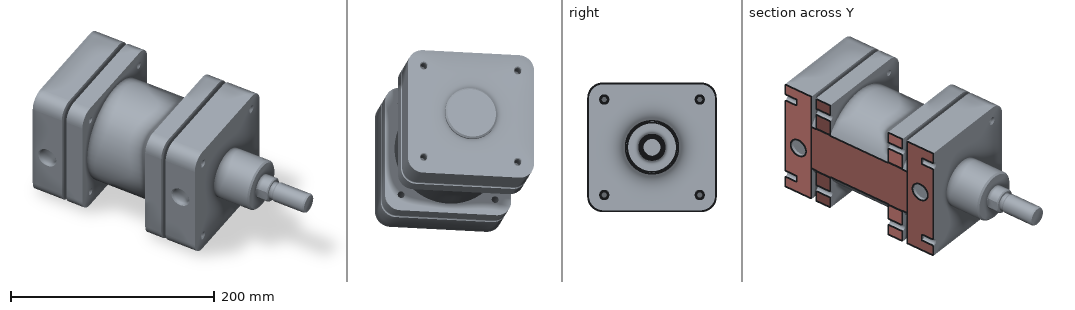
import cadquery as cq

total_length = 281.0
flange_side = 126.0
flange_corner_radius = 15.0

spigot_length = 3.7
cap_thickness = 33.2
plate_thickness = 18.3
cap_plate_gap = 5.0
cap_spacing = 151.5
boss_length = 39.5
boss_diameter = 52.0
boss_chamfer = 1.7

barrel_diameter = 107.0

screw_offset = 47.0
screw_hole_diameter = 6.7
screw_hole_chamfer = 0.8
screw_hole_depth = 14.0

port_diameter = 18.5
port_chamfer = 1.0
port_depth = 19.7
port_offset = 8.0

rod_diameter = 25.0
rod_length = 13.0
rod_collar_length = 0.8
rod_chamfer = 1.0
flats_width = 22.8
neck_diameter = 18.3
neck_length = 3.7
thread_diameter = 20.0
thread_lead_in = 1.7
thread_chamfer = 1.7
thread_chamfer_height = 0.8

rear_cap_start = spigot_length
rear_cap_end = rear_cap_start + cap_thickness
front_cap_start = rear_cap_start + cap_spacing
front_cap_end = front_cap_start + cap_thickness
rear_plate_start = rear_cap_end + cap_plate_gap
front_plate_start = front_cap_start - cap_plate_gap - plate_thickness
rod_start = front_cap_end + boss_length


def cylinder_along_x(start, length, diameter):
    return cq.Workplane("YZ", origin=(start, 0, 0)).circle(diameter / 2).extrude(length)


def flange(start, thickness):
    """Square block with rounded edges along the axis."""
    block = cq.Workplane("YZ", origin=(start, 0, 0)).rect(flange_side, flange_side).extrude(thickness)
    return block.edges("|X").fillet(flange_corner_radius)


def chamfered_hole(mouth, direction, diameter, depth, chamfer):
    """Cutter for a flat-bottomed hole with a countersunk mouth."""
    bore = cq.Solid.makeCylinder(diameter / 2, depth, mouth, direction)
    sink = cq.Solid.makeCone(diameter / 2 + chamfer, diameter / 2, chamfer, mouth, direction)
    return bore.fuse(sink)


def screw_positions():
    return [(y, z) for y in (-screw_offset, screw_offset) for z in (-screw_offset, screw_offset)]


def drill_cap(cap, cap_start, outer_face, inward, port_z):
    """Cut the corner screw holes into the outer face and the port into the -Y side."""
    for y, z in screw_positions():
        mouth = cq.Vector(outer_face, y, z)
        direction = cq.Vector(inward, 0, 0)
        cap = cap.cut(chamfered_hole(
            mouth, direction, screw_hole_diameter, screw_hole_depth, screw_hole_chamfer))
    port_mouth = cq.Vector(cap_start + cap_thickness / 2, -flange_side / 2, port_z)
    return cap.cut(chamfered_hole(
        port_mouth, cq.Vector(0, 1, 0), port_diameter, port_depth, port_chamfer))


def make_rear_cap():
    spigot = cylinder_along_x(0, spigot_length, boss_diameter).faces("<X").chamfer(boss_chamfer)
    cap = flange(rear_cap_start, cap_thickness).union(spigot)
    return drill_cap(cap, rear_cap_start, rear_cap_start, 1, -port_offset)


def make_front_cap():
    boss = cylinder_along_x(front_cap_end, boss_length, boss_diameter).faces(">X").chamfer(boss_chamfer)
    cap = flange(front_cap_start, cap_thickness).union(boss)
    return drill_cap(cap, front_cap_start, front_cap_end, -1, port_offset)


def make_plate(start):
    """Clamping plate bored for the barrel, with screw holes right through."""
    plate = flange(start, plate_thickness)
    plate = plate.cut(cylinder_along_x(start, plate_thickness, barrel_diameter))
    screw_holes = (
        cq.Workplane("YZ", origin=(start, 0, 0))
        .pushPoints(screw_positions())
        .circle(screw_hole_diameter / 2)
        .extrude(plate_thickness)
    )
    return plate.cut(screw_holes)


def make_barrel():
    return cylinder_along_x(rear_cap_end, front_cap_start - rear_cap_end, barrel_diameter)


def make_rod():
    """Turned rod end with a thread, a neck and two wrench flats facing +Y and -Y."""
    shoulder = rod_start + rod_length
    neck_end = shoulder + neck_length
    profile = [
        (rod_start, 0),
        (rod_start, rod_diameter / 2),
        (shoulder - rod_chamfer, rod_diameter / 2),
        (shoulder, rod_diameter / 2 - rod_chamfer),
        (shoulder, neck_diameter / 2),
        (neck_end, neck_diameter / 2),
        (neck_end + thread_lead_in, thread_diameter / 2),
        (total_length - thread_chamfer, thread_diameter / 2),
        (total_length, thread_diameter / 2 - thread_chamfer_height),
        (total_length, 0),
    ]
    rod = cq.Workplane("XY").polyline(profile).close().revolve(360, (0, 0, 0), (1, 0, 0))
    flats_length = rod_length - rod_collar_length
    flats_center = shoulder - flats_length / 2
    for side in (-1, 1):
        cutter = cq.Workplane("XY").box(flats_length, rod_diameter, rod_diameter)
        rod = rod.cut(cutter.translate((flats_center, side * (flats_width + rod_diameter) / 2, 0)))
    return rod


rear_cap = make_rear_cap()
front_cap = make_front_cap()
plates = [make_plate(start) for start in (rear_plate_start, front_plate_start)]
barrel = make_barrel()
rod = make_rod()

result = cq.Compound.makeCompound([
    rear_cap.val(),
    front_cap.val(),
    *[plate.val() for plate in plates],
    barrel.val(),
    rod.val(),
])